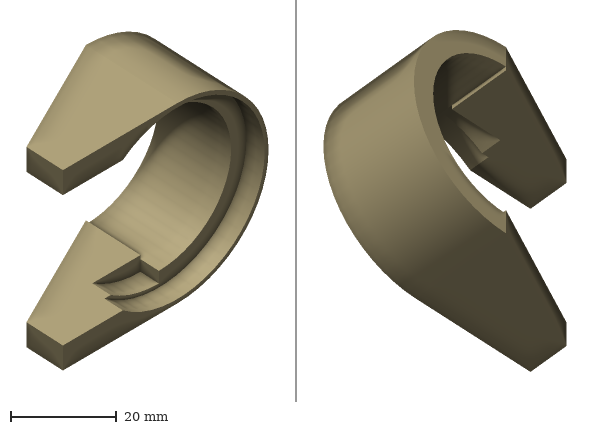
import cadquery as cq

width = 25.0
length = 54.0
outer_diameter = 48.0
band_wall = 5.0
arm_thickness = 6.0
tip_width = 10.0
step_depth = 5.0
recess_wall = 1.0
relief_wall = 2.0

outer_radius = outer_diameter / 2
inner_radius = outer_radius - band_wall
recess_radius = outer_radius - recess_wall
relief_radius = outer_radius - relief_wall
arm_length = length - outer_radius
recess_start = width - step_depth
relief_start = recess_start - step_depth


def bore_cylinder(radius, start, end):
    """Cylinder about the bore axis between two X positions."""
    return cq.Workplane("YZ", origin=(start, 0, 0)).circle(radius).extrude(end - start)


def front_half(body):
    """Part of a body on the arm side, at negative Y."""
    size = 2 * length
    keep = cq.Workplane("XY").box(size, size, size).translate((0, -length, 0))
    return body.intersect(keep)


def half_band():
    """Half ring closing the U at positive Y."""
    ring = bore_cylinder(outer_radius, 0, width).cut(bore_cylinder(inner_radius, 0, width))
    return ring.cut(front_half(ring))


def arm(bottom):
    """Flat arm tapering on one side toward its tip."""
    outline = [
        (0, 0),
        (width, 0),
        (width, -arm_length),
        (width - tip_width, -arm_length),
    ]
    return cq.Workplane("XY", origin=(0, 0, bottom)).polyline(outline).close().extrude(arm_thickness)


body = half_band()
for arm_bottom in (outer_radius - arm_thickness, -outer_radius):
    body = body.union(arm(arm_bottom))

end_recess = bore_cylinder(recess_radius, recess_start, width)
arm_relief = front_half(bore_cylinder(relief_radius, relief_start, recess_start))

result = body.cut(end_recess).cut(arm_relief)